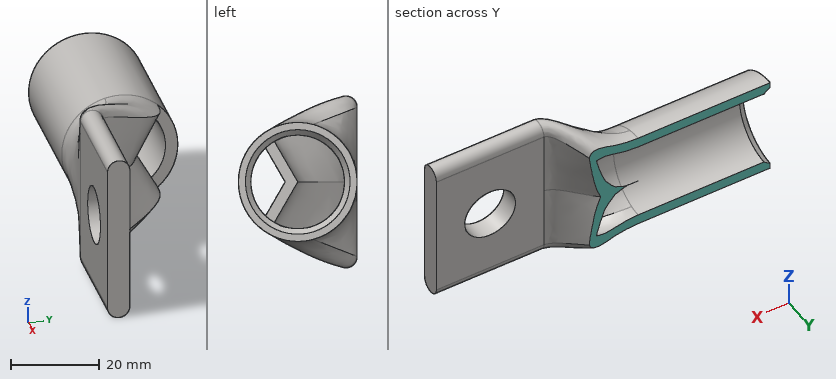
import cadquery as cq
import math

total_length = 83.3
barrel_length = 35.0
barrel_radius = 13.455
bore_radius = 10.6
mouth_radius = 11.8
mouth_depth = 1.7

palm_start = 54.8
palm_thickness = 5.2
palm_height = 38.9
hole_diameter = 13.4

notch_half_angle = math.radians(60)
edge_angle = math.radians(15)
slit_thickness = 0.25
neck_steps = 8
edge_lag = 1.1
crest_lag = 1.6

wall = barrel_radius - bore_radius
palm_back = -barrel_radius
palm_middle = palm_back + palm_thickness / 2
palm_length = total_length - palm_start
neck_length = palm_start - barrel_length


def smooth(t):
    """Rise from 0 to 1 with level ends."""
    return t * t * (3 - 2 * t)


def round_section(radius, notch_apex):
    """Corner points (y, z) of the upper half of a circle with a V notch."""
    cosine = math.cos(notch_half_angle)
    sine = math.sin(notch_half_angle)
    reach = -notch_apex * cosine + math.sqrt(radius**2 - (notch_apex * sine) ** 2)
    rise = radius * math.sin(edge_angle)
    half = radius * math.cos(edge_angle)
    return [
        (-radius, 0),
        (-rise, half),
        (rise, half),
        (notch_apex + reach * cosine, reach * sine),
        (notch_apex, 0),
    ]


def flat_section(thickness, height):
    """Matching points of the upper half of a flat bar with round edges."""
    radius = thickness / 2
    return [
        (palm_middle - radius, 0),
        (palm_middle - radius, height / 2 - radius),
        (palm_middle, height / 2),
        (palm_middle + radius, height / 2 - radius),
        (palm_middle + radius, 0),
    ]


def section_wire(x, points):
    """Closed wire in a plane across X, mirrored about Z = 0."""
    back, back_edge, tip, front_edge, front = [cq.Vector(x, y, z) for y, z in points]
    low_back, low_tip, low_front = [
        cq.Vector(p.x, p.y, -p.z) for p in (back_edge, tip, front_edge)
    ]
    if math.isclose(back.y, back_edge.y):
        back_side = cq.Edge.makeLine(low_back, back_edge)
    else:
        back_side = cq.Edge.makeThreePointArc(low_back, back, back_edge)
    return cq.Wire.assembleEdges([
        back_side,
        cq.Edge.makeThreePointArc(back_edge, tip, front_edge),
        cq.Edge.makeLine(front_edge, front),
        cq.Edge.makeLine(front, low_front),
        cq.Edge.makeThreePointArc(low_front, low_tip, low_back),
    ])


def neck_body(start, end):
    """Blend from the barrel section to the palm section."""
    corner_lags = [edge_lag] * 3 + [crest_lag] * 2
    wires = []
    for step in range(neck_steps + 1):
        t = step / neck_steps
        points = []
        for (y0, z0), (y1, z1), lag in zip(start, end, corner_lags):
            blend = smooth(t**lag)
            points.append((y0 + (y1 - y0) * blend, z0 + (z1 - z0) * blend))
        wires.append(section_wire(barrel_length + neck_length * t, points))
    return cq.Workplane(cq.Solid.makeLoft(wires))


barrel = cq.Workplane("YZ").circle(barrel_radius).circle(bore_radius).extrude(barrel_length)
mouth = cq.Workplane(
    cq.Solid.makeCone(mouth_radius, bore_radius, mouth_depth, cq.Vector(), cq.Vector(1, 0, 0))
)
barrel = barrel.cut(mouth)

palm_section = flat_section(palm_thickness, palm_height)
slit_section = flat_section(slit_thickness, palm_height - palm_thickness)
neck = neck_body(round_section(barrel_radius, wall), palm_section)
cavity = neck_body(round_section(bore_radius, 0), slit_section)
neck = neck.cut(cavity)

palm_wire = section_wire(palm_start, palm_section)
palm = cq.Workplane(cq.Solid.extrudeLinear(palm_wire, [], cq.Vector(palm_length, 0, 0)))
bolt = (
    cq.Workplane("XZ", origin=(palm_start + palm_length / 2, palm_back, 0))
    .circle(hole_diameter / 2)
    .extrude(-palm_thickness)
)

result = barrel.union(neck).union(palm).cut(bolt)